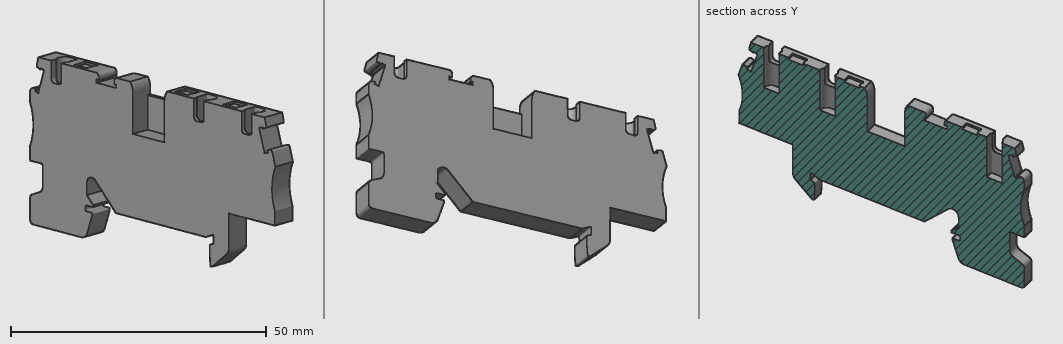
import cadquery as cq
import math

LENGTH = 66.5
THICKNESS = 5.0
HEIGHT = 34.3

DECK_Z = 12.85
BELLY_Z = 6.8
RIGHT_WALL_X = 66.4
CLIP_AXIS_X = 32.9

CLIP_TOP = (3.65, 31.6)
CLIP_BOTTOM = (2.4, 27.45)
NUB_TIP = (1.7, 32.3)
NUB_TOP_X = 2.25
LEFT_LIP = (0, 28.05)
RIGHT_LIP = (65.5, 28.2)
LEFT_LIP_RADIUS = 1.0
RIGHT_LIP_RADIUS = 0.5
RELIEF_WIDTH = 0.9
RELIEF_ABOVE = 0.3
RELIEF_BELOW = 0.45

UNDERCUT_BACK_WALL = 0.25

SLOT_LEFT = 18.7
SLOT_RIGHT = 22.8
SLOT_FLOOR_Z = 32.25
SLOT_UNDERCUT_HEIGHT = 0.65
SLOT_UNDERCUT_LEFT = 0.65
SLOT_UNDERCUT_RIGHT = 0.45
SLOT_LIP_RADIUS = 0.8

POCKET_LEFT = 27.85
POCKET_RIGHT = 36.45
POCKET_FLOOR_Z = 23.8
POCKET_BACK_WALL = 0.8
POCKET_WALL_TOP_Z = 30.85
MOUTH_FLARE = 0.7
MOUTH_DEPTH = 2.0

SCALLOP_LOW_Z = 15.8
SCALLOP_HIGH_Z = 24.9
LEFT_SCALLOP_HIGH_Z = 24.75
SCALLOP_DEPTH = 0.85

WELL_RADIUS = 1.65
WELL_CENTER_Y = 2.6
WELL_FLAT = 1.8
WELL_CORNER = 0.4
WELL_FLOOR_Z = 24.35
ENTRY_FLOOR_Z = 29.85
ENTRY_WIDTH = 2.7
ENTRY_SHIFT = 0.1
ENTRY_CORNER = 0.9
WELLS = [(7.0, 1), (45.9, -1), (58.85, -1)]

WINDOW_WIDTH = 3.4
WINDOW_DEPTH_Y = 3.05
WINDOW_CENTER_Y = 2.5
WINDOW_SINK = 0.45
WINDOWS_X = [12.8, 40.1, 53.15]


def mirror_x(point):
    """Reflect an (x, z) point about the axis between the two marker clips."""
    return (2 * CLIP_AXIS_X - point[0], point[1])


def rounded_outline(corners):
    """Closed XZ outline from (x, z, radius) corners; radius 0 stays sharp."""
    outline = None
    for i, (x, z, radius) in enumerate(corners):
        corner = cq.Vector(x, z)
        to_last = (cq.Vector(*corners[i - 1][:2]) - corner).normalized()
        to_next = (cq.Vector(*corners[(i + 1) % len(corners)][:2]) - corner).normalized()
        half_angle = to_last.getAngle(to_next) / 2
        setback = radius / math.tan(half_angle)
        start = corner + to_last * setback
        end = corner + to_next * setback
        bisector = (to_last + to_next).normalized()
        middle = corner + bisector * (radius / math.sin(half_angle) - radius)
        if outline is None:
            outline = cq.Workplane("XZ").moveTo(start.x, start.y)
        else:
            outline = outline.lineTo(start.x, start.y)
        if radius > 0:
            outline = outline.threePointArc((middle.x, middle.y), (end.x, end.y))
    return outline.close()


def front_prism(outline, depth):
    """Extrude an XZ outline from the front face toward +Y."""
    return outline.extrude(-depth)


def plate():
    """Full-thickness body with both mounting feet and the grooved ends."""
    foot_left = [
        (0, 0, 0.9),
        (15.1, 0, 1.65),
        (17.0, 5.6, 0.3),
        (15.0, 5.6, 0.4),
        (15.0, BELLY_Z, 0.4),
        (17.1, BELLY_Z, 0),
        (17.1, 7.2, 0),
        (15.4, 8.9, 0),
        (15.4, 14.6, 1.3),
        (23.3, BELLY_Z, 0),
    ]
    foot_right = [
        (47.7, BELLY_Z, 0),
        (49.7, 7.7, 0.2),
        (49.7, 5.9, 0),
        (48.7, 5.45, 0.25),
        (48.7, 3.3, 0),
        (48.9, 1.05, 0.25),
        (49.35, 1.05, 0.25),
        (53.85, 4.9, 1.65),
        (53.85, DECK_Z, 0),
    ]
    right_end = [
        (RIGHT_WALL_X, DECK_Z, 0),
        (RIGHT_WALL_X, SCALLOP_LOW_Z, 0),
        (LENGTH, SCALLOP_HIGH_Z, 0),
        (*RIGHT_LIP, RIGHT_LIP_RADIUS),
        (*mirror_x(CLIP_BOTTOM), 0),
        (*mirror_x(CLIP_TOP), 0),
        (*mirror_x(NUB_TIP), 0.3),
        (*mirror_x((NUB_TOP_X, HEIGHT)), 0),
    ]
    left_end = [
        (NUB_TOP_X, HEIGHT, 0),
        (*NUB_TIP, 0.3),
        (*CLIP_TOP, 0),
        (*CLIP_BOTTOM, 0),
        (*LEFT_LIP, LEFT_LIP_RADIUS),
        (0, DECK_Z, 0.25),
        (3.45, DECK_Z, 0.4),
        (3.45, 7.3, 1.5),
        (0, 5.85, 1.05),
    ]
    return front_prism(rounded_outline(foot_left + foot_right + right_end + left_end), THICKNESS)


def scallop(low, high, inward):
    """Hollow whose arc passes through two (x, z) points and bulges inward along X."""
    middle = ((low[0] + high[0]) / 2 + inward * SCALLOP_DEPTH, (low[1] + high[1]) / 2)
    return front_prism(cq.Workplane("XZ").moveTo(*low).threePointArc(middle, high).close(), THICKNESS)


def clip_relief(top, bottom, side):
    """Tilted strip along the groove wall that undercuts both groove corners."""
    top = cq.Vector(*top)
    bottom = cq.Vector(*bottom)
    along = (top - bottom).normalized()
    outward = cq.Vector(-along.y, along.x) * side
    upper = top + along * RELIEF_ABOVE
    lower = bottom - along * RELIEF_BELOW
    points = [upper, upper + outward * RELIEF_WIDTH, lower + outward * RELIEF_WIDTH, lower]
    outline = cq.Workplane("XZ").polyline([(p.x, p.y) for p in points]).close()
    return front_prism(outline, THICKNESS - UNDERCUT_BACK_WALL)


def block(x_min, x_max, depth, z_min, z_max):
    """Box reaching from the front face to the given depth along Y."""
    box = cq.Workplane("XY").box(x_max - x_min, depth, z_max - z_min, centered=False)
    return box.translate((x_min, 0, z_min))


def label_slot():
    """Slot across the plate whose lower corners are undercut on both sides."""
    slot = block(SLOT_LEFT, SLOT_RIGHT, THICKNESS, SLOT_FLOOR_Z, HEIGHT)
    undercut = block(
        SLOT_LEFT - SLOT_UNDERCUT_LEFT,
        SLOT_RIGHT + SLOT_UNDERCUT_RIGHT,
        THICKNESS - UNDERCUT_BACK_WALL,
        SLOT_FLOOR_Z,
        SLOT_FLOOR_Z + SLOT_UNDERCUT_HEIGHT,
    )
    return slot.union(undercut)


def round_slot_lips(body):
    """Round the two top edges of the label slot."""
    for x in (SLOT_LEFT, SLOT_RIGHT):
        lip = cq.selectors.NearestToPointSelector((x, THICKNESS / 2, HEIGHT))
        body = body.edges("|Y").edges(lip).fillet(SLOT_LIP_RADIUS)
    return body


def pocket():
    """Front pocket with a flared mouth that leaves the low wall behind it."""
    center_x = (POCKET_LEFT + POCKET_RIGHT) / 2
    half_width = POCKET_RIGHT - center_x
    right_half = front_prism(
        cq.Workplane("XZ")
        .moveTo(0, POCKET_FLOOR_Z)
        .lineTo(half_width, POCKET_FLOOR_Z)
        .lineTo(half_width, HEIGHT - MOUTH_DEPTH)
        .tangentArcPoint((half_width + MOUTH_FLARE, HEIGHT), relative=False)
        .lineTo(0, HEIGHT)
        .close(),
        THICKNESS,
    )
    flared = right_half.union(right_half.mirror("YZ")).translate((center_x, 0, 0))
    back_wall = block(POCKET_LEFT, POCKET_RIGHT, POCKET_BACK_WALL, POCKET_FLOOR_Z, POCKET_WALL_TOP_Z)
    return flared.cut(back_wall.translate((0, THICKNESS - POCKET_BACK_WALL, 0)))


def wire_well(center_x, side):
    """D-shaped well, flat toward the given X direction, with its front entry slot."""
    depth = HEIGHT - WELL_FLOOR_Z
    round_part = cq.Workplane("XY").circle(WELL_RADIUS).extrude(depth)
    flat_part = (
        cq.Workplane("XY")
        .center(side * WELL_FLAT / 2, 0)
        .rect(WELL_FLAT, 2 * WELL_RADIUS)
        .extrude(depth)
        .edges("|Z and " + (">X" if side > 0 else "<X"))
        .fillet(WELL_CORNER)
    )
    well = round_part.union(flat_part).translate((center_x, WELL_CENTER_Y, WELL_FLOOR_Z))
    entry_x = center_x + side * ENTRY_SHIFT
    entry_left = entry_x - ENTRY_WIDTH / 2
    entry = block(entry_left, entry_left + ENTRY_WIDTH, WELL_CENTER_Y, ENTRY_FLOOR_Z, HEIGHT)
    entry = entry.edges("|Y and <Z").fillet(ENTRY_CORNER)
    return well.union(entry)


def test_window(center_x):
    """Square sunk into the top edge."""
    window = cq.Workplane("XY").box(
        WINDOW_WIDTH, WINDOW_DEPTH_Y, WINDOW_SINK, centered=(True, True, False)
    )
    return window.translate((center_x, WINDOW_CENTER_Y, HEIGHT - WINDOW_SINK))


body = plate()
body = body.cut(scallop((0, SCALLOP_LOW_Z), (0, LEFT_SCALLOP_HIGH_Z), 1))
body = body.cut(scallop((RIGHT_WALL_X, SCALLOP_LOW_Z), (LENGTH, SCALLOP_HIGH_Z), -1))
body = body.cut(clip_relief(CLIP_TOP, CLIP_BOTTOM, 1))
body = body.cut(clip_relief(mirror_x(CLIP_TOP), mirror_x(CLIP_BOTTOM), -1))
body = round_slot_lips(body.cut(label_slot()))
body = body.cut(pocket())
for well_x, flat_side in WELLS:
    body = body.cut(wire_well(well_x, flat_side))
for window_x in WINDOWS_X:
    body = body.cut(test_window(window_x))

result = body